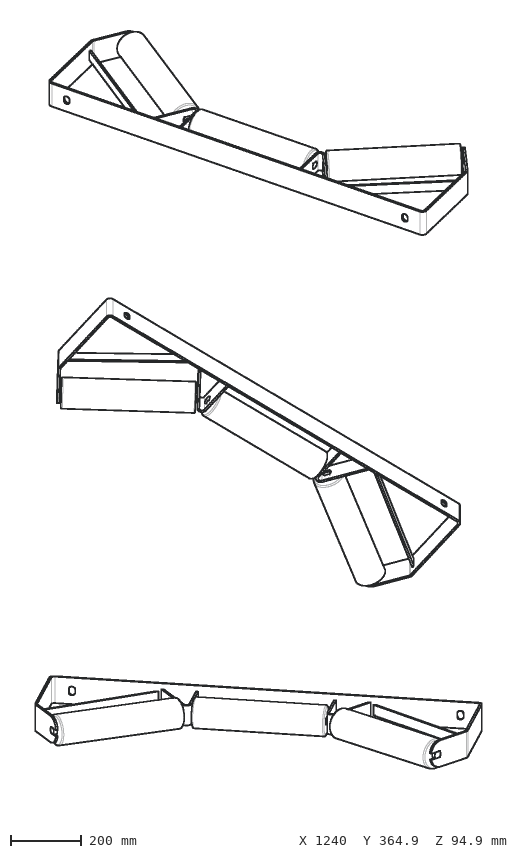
import cadquery as cq
import math

FRAME_LENGTH = 1240.0
HALF_LENGTH = FRAME_LENGTH / 2
BAR_HEIGHT = 79.0
BAR_THICKNESS = 6.0
OUTER_BEND_RADIUS = 14.0
INNER_BEND_RADIUS = OUTER_BEND_RADIUS - BAR_THICKNESS

TROUGH_ANGLE = 35.0
ROLLER_DIAMETER = 89.0
ROLLER_LENGTH = 380.0
ROLLER_EDGE_RADIUS = 4.0
MIDDLE_ROLLER_Y = 99.0
WING_CENTRE_X = 388.0
WING_CENTRE_Y = 221.0
INNER_SHAFT_Z = -7.0
OUTER_SHAFT_Z = -1.0
SHAFT_DIAMETER = 24.0
SHAFT_FLAT_WIDTH = 19.0
END_GAP = 5.0
BAR_DISTANCE = ROLLER_LENGTH / 2 + END_GAP
SHAFT_LENGTH = 2 * (BAR_DISTANCE + BAR_THICKNESS)

ARM_REACH = 26.0
ARM_TIP_RADIUS = 37.0

BRACKET_HEIGHT = 60.0

BRACE_HEIGHT = 31.0
BRACE_SIDE_Y = 223.0
BRACE_BASE_X = 311.0

MOUNT_SLOT_X = 557.0
MOUNT_SLOT_WIDTH = 19.0
MOUNT_SLOT_HEIGHT = 26.0

WELD_DEPTH = 4.0
COS = math.cos(math.radians(TROUGH_ANGLE))
SIN = math.sin(math.radians(TROUGH_ANGLE))


def wing_point(along, across):
    """XY point of the left wing: `along` its axis toward the middle, `across` it upward."""
    return (
        -WING_CENTRE_X + along * COS + across * SIN,
        WING_CENTRE_Y - along * SIN + across * COS,
    )


def mirrored(shape):
    """The same shape on the other side of the middle."""
    return shape.mirror("YZ")


def bent_bar(outer_face, height):
    """Flat bar on edge; `outer_face` is the XY line of its outer face, run clockwise."""
    headings = [
        math.atan2(y1 - y0, x1 - x0)
        for (x0, y0), (x1, y1) in zip(outer_face, outer_face[1:])
    ]
    inner_face = []
    for (x, y), before, after in zip(
        outer_face, headings[:1] + headings, headings + headings[-1:]
    ):
        half_turn = math.remainder(after - before, math.tau) / 2
        mitre = BAR_THICKNESS / math.cos(half_turn)
        heading = before + half_turn
        inner_face.append((x + mitre * math.sin(heading), y - mitre * math.cos(heading)))
    outline = outer_face + inner_face[::-1]
    solid = cq.Workplane().polyline(outline).close().extrude(height / 2, both=True)
    for face, radius in ((outer_face, OUTER_BEND_RADIUS), (inner_face, INNER_BEND_RADIUS)):
        for x, y in face[1:-1]:
            corner = cq.selectors.NearestToPointSelector((x, y, 0))
            solid = solid.edges(corner).fillet(radius)
    return solid


def outer_bar():
    """Base, both sides and both end arms, bent from one bar."""
    tip_x, tip_y = wing_point(-BAR_DISTANCE - BAR_THICKNESS, ARM_REACH)
    side_top = tip_y - (tip_x + HALF_LENGTH) * COS / SIN
    left_half = [(-HALF_LENGTH, 0), (-HALF_LENGTH, side_top), (tip_x, tip_y)]
    right_half = [(-x, y) for x, y in reversed(left_half)]
    return bent_bar(right_half + left_half, BAR_HEIGHT)


def arm_plane():
    """Mid-plane of the left end arm: local x up the arm, local y along Z."""
    x, y = wing_point(-BAR_DISTANCE - BAR_THICKNESS / 2, 0)
    return cq.Plane(origin=(x, y, 0), xDir=(SIN, COS, 0), normal=(COS, -SIN, 0))


def round_arm_tips(bar):
    """Rounds the upper and lower corner at the tip of each end arm."""
    for side in (-1, 1):
        for z in (-BAR_HEIGHT / 2, BAR_HEIGHT / 2):
            corner = arm_plane().toWorldCoords((ARM_REACH, z))
            nearest = cq.selectors.NearestToPointSelector((side * corner.x, corner.y, corner.z))
            bar = bar.edges(nearest).fillet(ARM_TIP_RADIUS)
    return bar


def arm_slot():
    """Open slot from the tip of the left end arm down to the shaft."""
    half = SHAFT_FLAT_WIDTH / 2
    length = half + 2 * ARM_REACH
    return (
        cq.Workplane(arm_plane())
        .center(length / 2 - half, OUTER_SHAFT_Z)
        .rect(length, SHAFT_FLAT_WIDTH)
        .extrude(BAR_THICKNESS, both=True)
    )


def bracket():
    """Left inner bracket: one leg square to the wing roller, one leg upright."""
    leg_x, leg_y = wing_point(BAR_DISTANCE, 0)
    upright_x = -BAR_DISTANCE
    top = leg_y + (upright_x - leg_x) * COS / SIN
    foot_x = leg_x - (leg_y - WELD_DEPTH) * SIN / COS
    outer_face = [(foot_x, WELD_DEPTH), (upright_x, top), (upright_x, WELD_DEPTH)]
    return bent_bar(outer_face, BRACKET_HEIGHT).translate((0, 0, INNER_SHAFT_Z))


def brace():
    """Left brace, from the side bar down to the base."""
    side_x = -HALF_LENGTH + BAR_THICKNESS
    run_x = -BRACE_BASE_X - side_x
    run_y = BAR_THICKNESS - BRACE_SIDE_Y
    length = math.hypot(run_x, run_y)
    return (
        cq.Workplane()
        .box(length + WELD_DEPTH, BAR_THICKNESS, BRACE_HEIGHT)
        .rotate((0, 0, 0), (0, 0, 1), math.degrees(math.atan2(run_y, run_x)))
        .translate((side_x + run_x / 2, BRACE_SIDE_Y + run_y / 2, 0))
    )


def mount_slots():
    return (
        cq.Workplane("XZ")
        .pushPoints([(-MOUNT_SLOT_X, 0), (MOUNT_SLOT_X, 0)])
        .slot2D(MOUNT_SLOT_HEIGHT, MOUNT_SLOT_WIDTH, 90)
        .extrude(-BAR_THICKNESS)
    )


def cylinder_along_x(diameter, length):
    end_plane = cq.Plane(origin=(-length / 2, 0, 0), xDir=(0, 0, 1), normal=(1, 0, 0))
    return cq.Workplane(end_plane).circle(diameter / 2).extrude(length)


def roller():
    """Roller with its shaft, along X about the origin."""
    shell = cylinder_along_x(ROLLER_DIAMETER, ROLLER_LENGTH).faces("<X or >X").edges()
    shell = shell.fillet(ROLLER_EDGE_RADIUS)
    flats = cq.Workplane().box(SHAFT_LENGTH, SHAFT_DIAMETER, SHAFT_FLAT_WIDTH)
    shaft = cylinder_along_x(SHAFT_DIAMETER, SHAFT_LENGTH).intersect(flats)
    return shell.union(shaft)


def place_on_wing(shape):
    tilt = math.degrees(math.asin((OUTER_SHAFT_Z - INNER_SHAFT_Z) / (2 * BAR_DISTANCE)))
    return (
        shape.rotate((0, 0, 0), (0, 1, 0), tilt)
        .rotate((0, 0, 0), (0, 0, 1), -TROUGH_ANGLE)
        .translate((-WING_CENTRE_X, WING_CENTRE_Y, (OUTER_SHAFT_Z + INNER_SHAFT_Z) / 2))
    )


middle_roller = roller().translate((0, MIDDLE_ROLLER_Y, INNER_SHAFT_Z))
left_roller = place_on_wing(roller())
right_roller = mirrored(left_roller)
rollers = [middle_roller, left_roller, right_roller]

frame = round_arm_tips(outer_bar())
for part in (bracket(), brace()):
    frame = frame.union(part).union(mirrored(part))
frame = frame.cut(arm_slot()).cut(mirrored(arm_slot())).cut(mount_slots())
for body in rollers:
    frame = frame.cut(body)

result = cq.Compound.makeCompound([frame.val(), *[body.val() for body in rollers]])